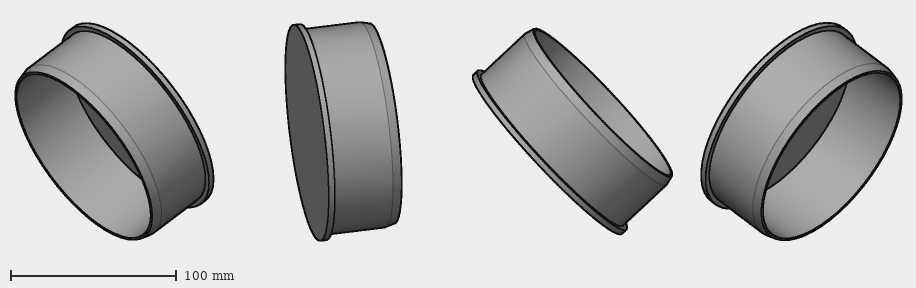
import cadquery as cq

flange_diameter = 131.5
body_diameter = 125.0
bore_diameter = 119.0
mouth_diameter = 121.9
total_length = 46.0
flange_thickness = 3.8
floor_thickness = 3.8
taper_length = 5.9

flange_radius = flange_diameter / 2
body_radius = body_diameter / 2
bore_radius = bore_diameter / 2
mouth_radius = mouth_diameter / 2

half_section = (
    cq.Workplane("XY")
    .moveTo(bore_radius, 0)
    .lineTo(mouth_radius, 0)
    .lineTo(body_radius, taper_length)
    .lineTo(body_radius, total_length - flange_thickness)
    .lineTo(flange_radius, total_length - flange_thickness)
    .lineTo(flange_radius, total_length)
    .lineTo(0, total_length)
    .lineTo(0, total_length - floor_thickness)
    .lineTo(bore_radius, total_length - floor_thickness)
    .close()
)

result = half_section.revolve(360, (0, 0, 0), (0, 1, 0))